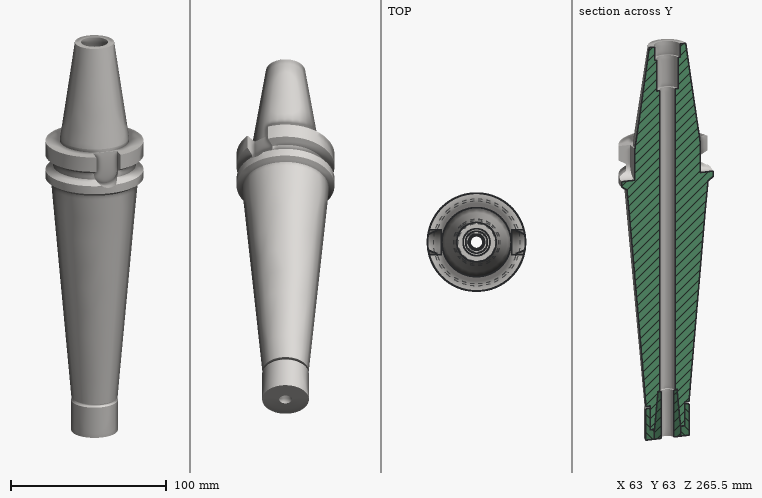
import cadquery as cq
import math


TOTAL_LENGTH = 265.5
GAUGE_Z = 200.0

GAUGE_RADIUS = 44.3 / 2
TAPER_RATIO = 7 / 24
SHANK_TIP_RADIUS = GAUGE_RADIUS - (TOTAL_LENGTH - GAUGE_Z) * TAPER_RATIO / 2

FLANGE_RADIUS = 63.0 / 2
FLANGE_TOP_Z = GAUGE_Z - 2.0
FLANGE_BOTTOM_Z = GAUGE_Z - 27.0
FLANGE_CHAMFER_HEIGHT = 2.5
GROOVE_MIDDLE_Z = GAUGE_Z - 16.7
GROOVE_FLOOR_RADIUS = 26.5
GROOVE_FLOOR_WIDTH = 4.2
GROOVE_FLANK_ANGLE = math.radians(30)
GROOVE_FLANK_HEIGHT = (FLANGE_RADIUS - GROOVE_FLOOR_RADIUS) * math.tan(GROOVE_FLANK_ANGLE)
GROOVE_FLOOR_TOP_Z = GROOVE_MIDDLE_Z + GROOVE_FLOOR_WIDTH / 2
GROOVE_FLOOR_BOTTOM_Z = GROOVE_MIDDLE_Z - GROOVE_FLOOR_WIDTH / 2

SLOT_WIDTH = 16.2
SLOT_FLOOR_X = 22.5
SLOT_DEPTH = 21.2
CUT_MARGIN = 2.7

NUT_RADIUS = 30.0 / 2
NUT_HEIGHT = 21.8
NUT_CHAMFER = 1.0

NOSE_TOP_RADIUS = 27.9
NOSE_TOP_Z = FLANGE_BOTTOM_Z - FLANGE_CHAMFER_HEIGHT
NOSE_TIP_RADIUS = 14.9
NUT_GAP = 1.0
NOSE_TIP_Z = NUT_HEIGHT + NUT_GAP
SPIGOT_RADIUS = 12.0
SPIGOT_BOTTOM_Z = 6.6

COUNTERBORE_RADIUS = 17.3 / 2
COUNTERBORE_DEPTH = 9.0
THREAD_RADIUS = 14.0 / 2
THREAD_DEPTH = 30.0
BORE_RADIUS = 10.4 / 2

COLLET_TOP_RADIUS = 6.5
COLLET_BOTTOM_RADIUS = 8.8
COLLET_TOP_Z = 31.8
TOOL_BORE_RADIUS = 8.2 / 2
TOOL_BORE_CHAMFER = 0.3


def turned(profile):
    """Revolve a closed outline of (radius, z) points about the Z axis."""
    return cq.Workplane("YZ").polyline(profile).close().revolve(360, (0, 0, 0), (0, 1, 0))


def drive_slot(side):
    """Cutter for one drive slot: open at the flange top, with a full round lower end."""
    round_radius = SLOT_WIDTH / 2
    round_center_z = FLANGE_TOP_Z - SLOT_DEPTH + round_radius
    open_top_z = FLANGE_TOP_Z + CUT_MARGIN
    cut_length = side * (FLANGE_RADIUS + CUT_MARGIN - SLOT_FLOOR_X)
    return (
        cq.Workplane("YZ", origin=(side * SLOT_FLOOR_X, 0, 0))
        .moveTo(-round_radius, open_top_z)
        .lineTo(-round_radius, round_center_z)
        .threePointArc((0, round_center_z - round_radius), (round_radius, round_center_z))
        .lineTo(round_radius, open_top_z)
        .close()
        .extrude(cut_length)
    )


def make_holder():
    """Shank, grooved flange, nose and spigot, with a stepped bore and a collet seat."""
    counterbore_floor_z = TOTAL_LENGTH - COUNTERBORE_DEPTH
    thread_floor_z = TOTAL_LENGTH - THREAD_DEPTH
    holder = turned([
        (SHANK_TIP_RADIUS, TOTAL_LENGTH),
        (GAUGE_RADIUS, GAUGE_Z),
        (GAUGE_RADIUS, FLANGE_TOP_Z),
        (FLANGE_RADIUS, FLANGE_TOP_Z),
        (FLANGE_RADIUS, GROOVE_FLOOR_TOP_Z + GROOVE_FLANK_HEIGHT),
        (GROOVE_FLOOR_RADIUS, GROOVE_FLOOR_TOP_Z),
        (GROOVE_FLOOR_RADIUS, GROOVE_FLOOR_BOTTOM_Z),
        (FLANGE_RADIUS, GROOVE_FLOOR_BOTTOM_Z - GROOVE_FLANK_HEIGHT),
        (FLANGE_RADIUS, FLANGE_BOTTOM_Z),
        (NOSE_TOP_RADIUS, NOSE_TOP_Z),
        (NOSE_TIP_RADIUS, NOSE_TIP_Z),
        (SPIGOT_RADIUS, NOSE_TIP_Z),
        (SPIGOT_RADIUS, SPIGOT_BOTTOM_Z),
        (COLLET_BOTTOM_RADIUS, SPIGOT_BOTTOM_Z),
        (COLLET_TOP_RADIUS, COLLET_TOP_Z),
        (BORE_RADIUS, COLLET_TOP_Z),
        (BORE_RADIUS, thread_floor_z),
        (THREAD_RADIUS, thread_floor_z),
        (THREAD_RADIUS, counterbore_floor_z),
        (COUNTERBORE_RADIUS, counterbore_floor_z),
        (COUNTERBORE_RADIUS, TOTAL_LENGTH),
    ])
    for side in (-1, 1):
        holder = holder.cut(drive_slot(side))
    return holder


def make_nut():
    """Round nut with a chamfered top edge, bored for the spigot and the collet."""
    return turned([
        (COLLET_BOTTOM_RADIUS, 0),
        (NUT_RADIUS, 0),
        (NUT_RADIUS, NUT_HEIGHT - NUT_CHAMFER),
        (NUT_RADIUS - NUT_CHAMFER, NUT_HEIGHT),
        (SPIGOT_RADIUS, NUT_HEIGHT),
        (SPIGOT_RADIUS, SPIGOT_BOTTOM_Z),
        (COLLET_BOTTOM_RADIUS, SPIGOT_BOTTOM_Z),
    ])


def make_collet():
    """Collet: a tapered upper part on a straight lower part, bored for the tool."""
    return turned([
        (TOOL_BORE_RADIUS, 0),
        (COLLET_BOTTOM_RADIUS, 0),
        (COLLET_BOTTOM_RADIUS, SPIGOT_BOTTOM_Z),
        (COLLET_TOP_RADIUS, COLLET_TOP_Z),
        (TOOL_BORE_RADIUS + TOOL_BORE_CHAMFER, COLLET_TOP_Z),
        (TOOL_BORE_RADIUS, COLLET_TOP_Z - TOOL_BORE_CHAMFER),
    ])


holder = make_holder()
nut = make_nut()
collet = make_collet()

result = cq.Compound.makeCompound([holder.val(), nut.val(), collet.val()])